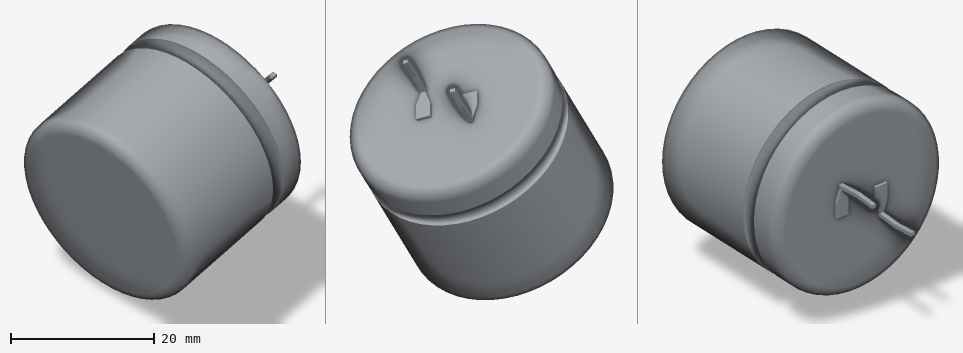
import cadquery as cq


can_diameter = 30.5
can_length = 26.0
edge_radius = 1.75

groove_radius = 1.2
groove_distance = 6.0

overall_length = 33.3
pin_offset_x = 3.53
pin_inner_z = 3.33
pin_width = 0.7
pin_thickness = 0.6
pin_bulge = 0.25
pad_width = 2.1
pad_straight_length = 2.4
pad_height = 0.5

root_depth = 0.33

can_radius = can_diameter / 2
pin_length = overall_length - can_length


def make_can():
    """Cylinder with both rims rounded and a semicircular groove around it."""
    can = (
        cq.Workplane("XZ")
        .circle(can_radius)
        .extrude(can_length)
        .edges("%CIRCLE")
        .fillet(edge_radius)
    )
    groove = (
        cq.Workplane("XY")
        .center(can_radius, -groove_distance)
        .circle(groove_radius)
        .revolve(360, (-can_radius, 0, 0), (-can_radius, 1, 0))
    )
    return can.cut(groove)


def make_pad():
    """Flat tab across the can axis that tapers to the width of the pin on its +Z side."""
    shoulder_z = pad_straight_length / 2
    outline = [
        (-pad_width / 2, -shoulder_z),
        (pad_width / 2, -shoulder_z),
        (pad_width / 2, shoulder_z),
        (pin_width / 2, pin_inner_z),
        (-pin_width / 2, pin_inner_z),
        (-pad_width / 2, shoulder_z),
    ]
    return (
        cq.Workplane("XZ", origin=(0, pad_height, 0))
        .polyline(outline)
        .close()
        .extrude(pad_height + root_depth)
    )


def make_pin():
    """Strip that runs straight past the pad, then bows outwards to a bend halfway to its tip."""
    outer_z = pin_inner_z + pin_thickness
    bend_y = (pad_height + pin_length) / 2
    outline = [
        (-root_depth, pin_inner_z),
        (pad_height, pin_inner_z),
        (bend_y, pin_inner_z + pin_bulge),
        (pin_length, pin_inner_z),
        (pin_length, outer_z),
        (bend_y, outer_z + pin_bulge),
        (pad_height, outer_z),
        (-root_depth, outer_z),
    ]
    return cq.Workplane("YZ").polyline(outline).close().extrude(pin_width / 2, both=True)


terminal = make_pad().union(make_pin()).translate((pin_offset_x, 0, 0))
opposite_terminal = terminal.rotate((0, 0, 0), (0, 1, 0), 180)

result = make_can().union(terminal).union(opposite_terminal)